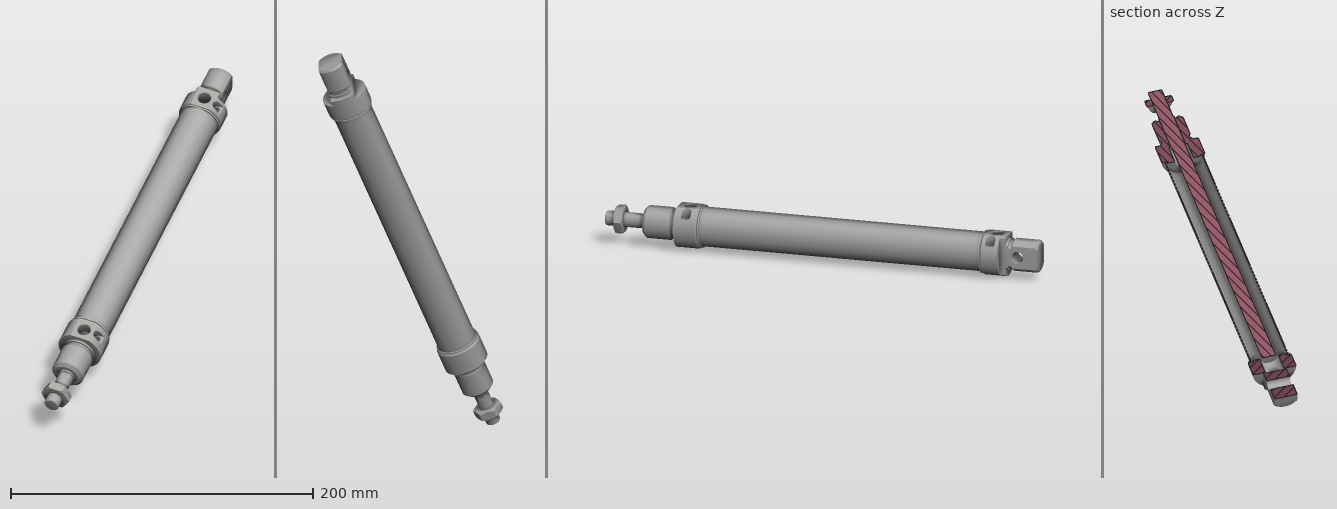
import cadquery as cq
import math

LENGTH = 300.0

TUBE_DIA = 26.5
TUBE_BORE = 25.0

HEAD_DIA = 30.0
HEAD_LENGTH = 17.5
LIP_DIA = 28.8
LIP_LENGTH = 1.0
GROOVE_DIA = 22.5
GROOVE_WIDTH = 0.5
HEAD_CHAMFER = 0.5
FLAT_Z = 13.5
PORT_DIA = 8.7
PORT_MOUTH_DIA = 9.5
PORT_TO_TUBE = 9.5
CHAMBER_DIA = 13.0

NECK_DIA = 22.0
UNDERCUT_DIA = 19.8
UNDERCUT_START = 1.5
UNDERCUT_END = 3.5
UNDERCUT_CHAMFER = (NECK_DIA - UNDERCUT_DIA) / 2

FRONT_FACE_Y = 50.0
FRONT_TUBE_Y = FRONT_FACE_Y + HEAD_LENGTH
FRONT_NECK_LENGTH = 23.0
FRONT_NECK_CHAMFER = 2.0
FRONT_RECESS_DIA = 14.0
FRONT_RECESS_DEPTH = 1.0
WIPER_LIP_DIA = 11.0
WIPER_LIP_END_Y = 26.5

REAR_FACE_Y = 278.0
REAR_TUBE_Y = REAR_FACE_Y - HEAD_LENGTH
EYE_CHAMFER = 1.2
EYE_WIDTH = 16.0
EYE_FLAT_END_Y = 274.2
EYE_HOLE_DIA = 8.0
EYE_HOLE_Y = 286.2

ADJUSTER_X = 10.0
ADJUSTER_Z = 7.5
ADJUSTER_SLOT_WIDTH = 6.3
ADJUSTER_STEPS = [(3.5, 1.0), (2.45, 1.8), (1.2, 2.7)]
FRONT_ADJUSTER_Y = 58.2
REAR_ADJUSTER_Y = 268.5

ROD_DIA = 10.0
ROD_END_Y = REAR_TUBE_Y
ROD_TIP_CHAMFER = 0.5
WRENCH_FLAT_SIZE = 9.0
WRENCH_FLAT_START_Y = 21.0
WRENCH_FLAT_END_Y = WIPER_LIP_END_Y

NUT_ACROSS_FLATS = 17.0
NUT_THICKNESS = 6.0
NUT_START_Y = 7.0
NUT_CHAMFER_ANGLE = math.radians(30)


def y_cylinder(diameter, y_start, y_end):
    """Cylinder on the Y axis between two Y positions."""
    y_low = min(y_start, y_end)
    return cq.Workplane("XZ", origin=(0, y_low, 0)).circle(diameter / 2).extrude(-abs(y_end - y_start))


def revolve_profile(points):
    """Solid of revolution about Y from (radius, y) points."""
    return cq.Workplane("XY").polyline(points).close().revolve(360, (0, 0, 0), (0, 1, 0))


def make_head_blank(face_y, away, neck_length, end_chamfer):
    """Turned head with its neck; away is the Y direction (+1 or -1) from the tube to the neck."""
    head_radius = HEAD_DIA / 2
    neck_radius = NECK_DIA / 2
    undercut_radius = UNDERCUT_DIA / 2
    lip_radius = LIP_DIA / 2
    groove_radius = GROOVE_DIA / 2
    tube_y = face_y - away * HEAD_LENGTH
    lip_end_y = tube_y + away * LIP_LENGTH
    groove_end_y = lip_end_y + away * GROOVE_WIDTH
    neck_end_y = face_y + away * neck_length
    undercut_end_y = face_y + away * UNDERCUT_END
    return revolve_profile([
        (0, tube_y),
        (lip_radius, tube_y),
        (lip_radius, lip_end_y),
        (groove_radius, lip_end_y),
        (groove_radius, groove_end_y),
        (head_radius - HEAD_CHAMFER, groove_end_y),
        (head_radius, groove_end_y + away * HEAD_CHAMFER),
        (head_radius, face_y),
        (neck_radius, face_y),
        (neck_radius, face_y + away * UNDERCUT_START),
        (undercut_radius, face_y + away * UNDERCUT_START),
        (undercut_radius, undercut_end_y),
        (neck_radius, undercut_end_y + away * UNDERCUT_CHAMFER),
        (neck_radius, neck_end_y - away * end_chamfer),
        (neck_radius - end_chamfer, neck_end_y),
        (0, neck_end_y),
    ])


def cut_port(head, tube_y, away):
    """Cut the top flat, the air port and the chamber that joins the port to the tube."""
    port_y = tube_y + away * PORT_TO_TUBE
    top_flat = (
        cq.Workplane("XY", origin=(0, tube_y + away * HEAD_LENGTH / 2, FLAT_Z))
        .rect(HEAD_DIA, HEAD_LENGTH)
        .extrude(HEAD_DIA)
    )
    port = cq.Workplane("XY", origin=(0, port_y, 0)).circle(PORT_DIA / 2).extrude(HEAD_DIA)
    mouth_depth = (PORT_MOUTH_DIA - PORT_DIA) / 2
    mouth = (
        cq.Workplane("XY", origin=(0, port_y, FLAT_Z))
        .circle(PORT_MOUTH_DIA / 2)
        .workplane(offset=-mouth_depth)
        .circle(PORT_DIA / 2)
        .loft(ruled=True)
    )
    chamber = y_cylinder(CHAMBER_DIA, tube_y, port_y + away * PORT_DIA / 2)
    return head.cut(top_flat).cut(port).cut(mouth).cut(chamber)


def cut_adjuster(head, adjuster_y):
    """Cut the cushion adjuster slot and the stepped hole in its floor."""
    floor = cq.Workplane("XY", origin=(ADJUSTER_X, adjuster_y, ADJUSTER_Z))
    slot_end = floor.circle(ADJUSTER_SLOT_WIDTH / 2).extrude(HEAD_DIA)
    slot_run = floor.center(HEAD_DIA / 2, 0).rect(HEAD_DIA, ADJUSTER_SLOT_WIDTH).extrude(HEAD_DIA)
    head = head.cut(slot_end).cut(slot_run)
    for diameter, depth in ADJUSTER_STEPS:
        head = head.cut(floor.circle(diameter / 2).extrude(-depth))
    return head


def make_tube():
    outside = y_cylinder(TUBE_DIA, FRONT_TUBE_Y, REAR_TUBE_Y)
    return outside.cut(y_cylinder(TUBE_BORE, FRONT_TUBE_Y, REAR_TUBE_Y))


def make_front_head():
    neck_end_y = FRONT_FACE_Y - FRONT_NECK_LENGTH
    head = make_head_blank(FRONT_FACE_Y, -1, FRONT_NECK_LENGTH, FRONT_NECK_CHAMFER)
    head = cut_port(head, FRONT_TUBE_Y, -1)
    head = cut_adjuster(head, FRONT_ADJUSTER_Y)
    recess = y_cylinder(FRONT_RECESS_DIA, neck_end_y, neck_end_y + FRONT_RECESS_DEPTH)
    wiper_lip = y_cylinder(WIPER_LIP_DIA, WIPER_LIP_END_Y, neck_end_y + FRONT_RECESS_DEPTH)
    rod_bore = y_cylinder(ROD_DIA, WIPER_LIP_END_Y, FRONT_TUBE_Y)
    return head.cut(recess).union(wiper_lip).cut(rod_bore)


def make_rear_cap():
    cap = make_head_blank(REAR_FACE_Y, 1, LENGTH - REAR_FACE_Y, EYE_CHAMFER)
    cap = cut_port(cap, REAR_TUBE_Y, 1)
    cap = cut_adjuster(cap, REAR_ADJUSTER_Y)
    flat_length = LENGTH - EYE_FLAT_END_Y
    for side in (-1, 1):
        side_cut = cq.Workplane("XY").box(HEAD_DIA, flat_length, HEAD_DIA).translate(
            (side * (EYE_WIDTH + HEAD_DIA) / 2, EYE_FLAT_END_Y + flat_length / 2, 0))
        cap = cap.cut(side_cut)
    eye_hole = (
        cq.Workplane("YZ", origin=(0, EYE_HOLE_Y, 0))
        .circle(EYE_HOLE_DIA / 2)
        .extrude(EYE_WIDTH, both=True)
    )
    return cap.cut(eye_hole)


def make_rod():
    rod = y_cylinder(ROD_DIA, 0, ROD_END_Y).faces("<Y").chamfer(ROD_TIP_CHAMFER)
    flat_length = WRENCH_FLAT_END_Y - WRENCH_FLAT_START_Y
    for side in (-1, 1):
        wrench_flat = cq.Workplane("XY").box(ROD_DIA, flat_length, ROD_DIA).translate(
            (0, WRENCH_FLAT_START_Y + flat_length / 2, side * (WRENCH_FLAT_SIZE + ROD_DIA) / 2))
        rod = rod.cut(wrench_flat)
    return rod


def make_nut():
    """Hexagon nut with corners on the X axis, conically chamfered at both ends."""
    end_y = NUT_START_Y + NUT_THICKNESS
    flat_radius = NUT_ACROSS_FLATS / 2
    corner_radius = flat_radius / math.cos(math.radians(30))
    chamfer_height = (corner_radius - flat_radius) * math.tan(NUT_CHAMFER_ANGLE)
    hexagon = (
        cq.Workplane("XZ", origin=(0, NUT_START_Y, 0))
        .polygon(6, 2 * corner_radius)
        .extrude(-NUT_THICKNESS)
    )
    chamfered_round = revolve_profile([
        (0, NUT_START_Y),
        (flat_radius, NUT_START_Y),
        (corner_radius, NUT_START_Y + chamfer_height),
        (corner_radius, end_y - chamfer_height),
        (flat_radius, end_y),
        (0, end_y),
    ])
    return hexagon.intersect(chamfered_round).cut(y_cylinder(ROD_DIA, NUT_START_Y, end_y))


tube = make_tube()
front_head = make_front_head()
rear_cap = make_rear_cap()
rod = make_rod()
nut = make_nut()

result = cq.Compound.makeCompound([
    tube.val(),
    front_head.val(),
    rear_cap.val(),
    rod.val(),
    nut.val(),
])